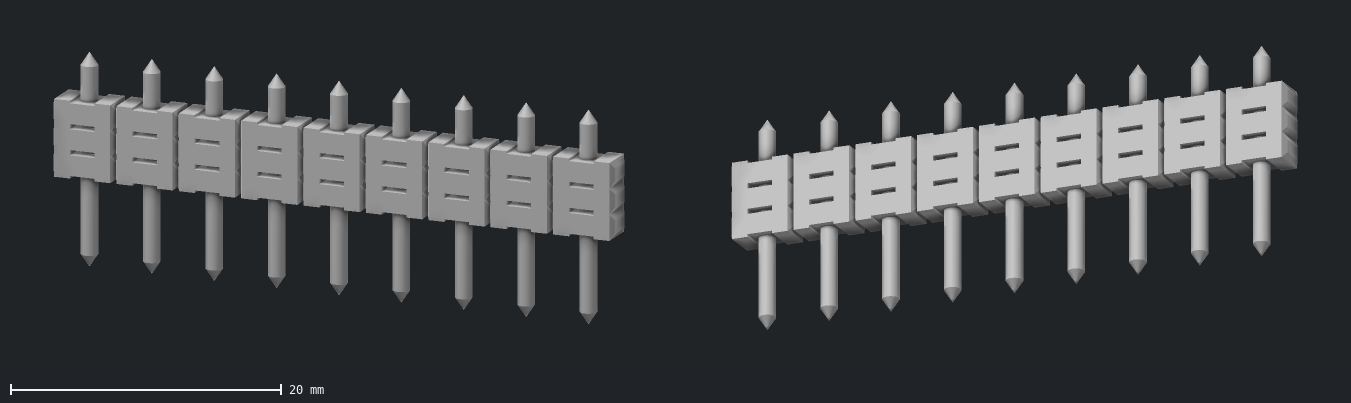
import cadquery as cq

strip_length = 45.0
module_count = 9
pitch = strip_length / module_count

body_depth = 2.8
body_height = 6.0
segment_count = 3
segment_height = body_height / segment_count

boss_length = 0.25
boss_inset = 0.5
core_width = pitch - 2 * boss_length

recess_width = 2.0
recess_depth = 0.2

pin_diameter = 1.3
pin_above_body = 3.5
pin_below_body = 7.0
pin_point_length = 1.0


def make_boss():
    """Rectangular frustum on the +X end of a segment centred on the origin."""
    return (
        cq.Workplane("YZ", origin=(core_width / 2, 0, 0))
        .rect(body_depth, segment_height)
        .workplane(offset=boss_length)
        .rect(body_depth - 2 * boss_inset, segment_height - 2 * boss_inset)
        .loft(ruled=True)
    )


def make_body():
    """Stacked segments with end bosses, then recesses and slots cut through in Y."""
    body = cq.Workplane("XY").box(core_width, body_depth, body_height)
    boss = make_boss()
    boss_pair = [boss, boss.mirror("YZ")]
    for segment in range(segment_count):
        z = (segment + 0.5) * segment_height - body_height / 2
        for end_boss in boss_pair:
            body = body.union(end_boss.translate((0, 0, z)))
    for boundary in range(segment_count + 1):
        z = boundary * segment_height - body_height / 2
        slot = cq.Workplane("XY").box(recess_width, body_depth, 2 * recess_depth)
        body = body.cut(slot.translate((0, 0, z)))
    return body


def make_pin():
    """Pin profile revolved about Z."""
    radius = pin_diameter / 2
    top = body_height / 2 + pin_above_body
    bottom = -body_height / 2 - pin_below_body
    return (
        cq.Workplane("XZ")
        .moveTo(0, bottom)
        .lineTo(radius, bottom + pin_point_length)
        .lineTo(radius, top - pin_point_length)
        .lineTo(0, top)
        .close()
        .revolve(360, (0, 0, 0), (0, 1, 0))
    )


module = make_body().union(make_pin())

result = module
for index in range(1, module_count):
    result = result.union(module.translate((index * pitch, 0, 0)))
result = result.translate((-(module_count - 1) * pitch / 2, 0, 0))